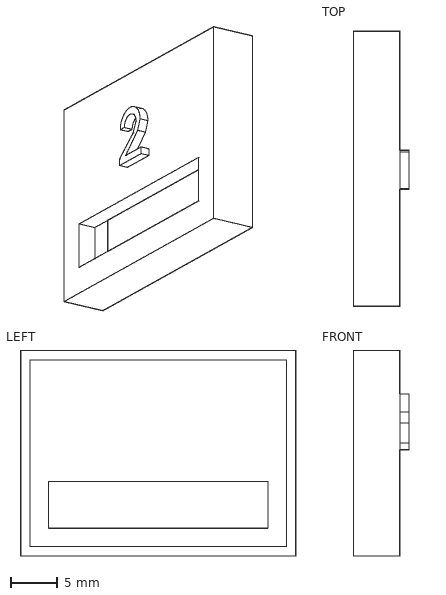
import cadquery as cq

length = 29.6
height = 22.1
overall_depth = 6.0
boss_depth = 1.0
wall = 1.0
floor_thickness = 2.0
tray_depth = overall_depth - boss_depth

window_length = 23.55
window_height = 5.0
window_above_base = 3.0

foot_left = -2.22
foot_right = 2.0
foot_bottom = 0.35
foot_top = 1.12
bowl_center_y = -0.15
bowl_center_z = 4.45
bowl_outer_radius = 1.95
bowl_inner_radius = 1.15
neck_z = 3.25
neck_outer_y = 1.33
neck_inner_y = 0.45
diagonal_foot_y = -1.05


def make_tray():
    cavity_depth = tray_depth - floor_thickness
    body = cq.Workplane("YZ").rect(length, height).extrude(tray_depth)
    cavity = cq.Workplane("YZ").rect(length - 2 * wall, height - 2 * wall).extrude(cavity_depth)
    window_z = -height / 2 + window_above_base + window_height / 2
    window = (
        cq.Workplane("YZ")
        .center(0, window_z)
        .rect(window_length, window_height)
        .extrude(tray_depth)
    )
    return body.cut(cavity).cut(window)


def make_figure():
    """Figure outline: half-round bowl, diagonal stem and straight foot."""
    return (
        cq.Workplane("YZ", origin=(tray_depth, 0, 0))
        .moveTo(foot_left, foot_bottom)
        .lineTo(foot_right, foot_bottom)
        .lineTo(foot_right, foot_top)
        .lineTo(diagonal_foot_y, foot_top)
        .lineTo(neck_outer_y, neck_z)
        .lineTo(bowl_center_y + bowl_outer_radius, bowl_center_z)
        .threePointArc(
            (bowl_center_y, bowl_center_z + bowl_outer_radius),
            (bowl_center_y - bowl_outer_radius, bowl_center_z),
        )
        .lineTo(bowl_center_y - bowl_inner_radius, bowl_center_z)
        .threePointArc(
            (bowl_center_y, bowl_center_z + bowl_inner_radius),
            (bowl_center_y + bowl_inner_radius, bowl_center_z),
        )
        .lineTo(neck_inner_y, neck_z)
        .lineTo(foot_left, foot_top)
        .close()
        .extrude(boss_depth)
    )


result = make_tray().union(make_figure())